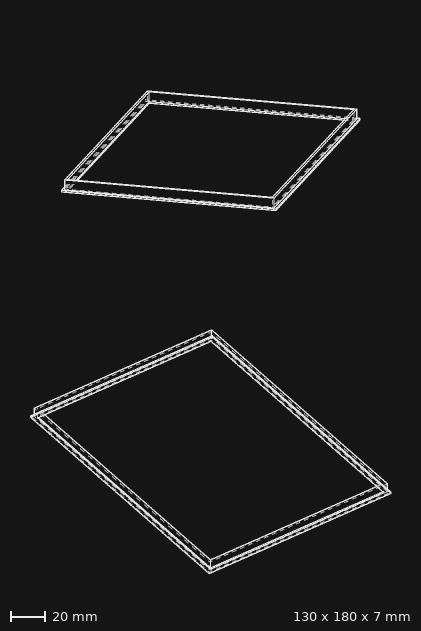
import cadquery as cq

LENGTH_X = 130.0
LENGTH_Y = 180.0
HEIGHT = 7.0

FLANGE_THICKNESS = 1.0
LEDGE_WIDTH = 1.5
WALL_THICKNESS = 1.5

INNER_OFFSET = LEDGE_WIDTH + WALL_THICKNESS


def rectangular_ring(outer_inset, bottom, height):
    """Ring from an inset of the envelope to the shared inner opening."""
    outer_x = LENGTH_X - 2 * outer_inset
    outer_y = LENGTH_Y - 2 * outer_inset
    opening_x = LENGTH_X - 2 * INNER_OFFSET
    opening_y = LENGTH_Y - 2 * INNER_OFFSET
    return (
        cq.Workplane("XY", origin=(0, 0, bottom))
        .rect(outer_x, outer_y)
        .rect(opening_x, opening_y)
        .extrude(height)
    )


flange = rectangular_ring(0, 0, FLANGE_THICKNESS)

wall = rectangular_ring(LEDGE_WIDTH, FLANGE_THICKNESS, HEIGHT - FLANGE_THICKNESS)

result = cq.Compound.makeCompound([flange.val(), wall.val()])